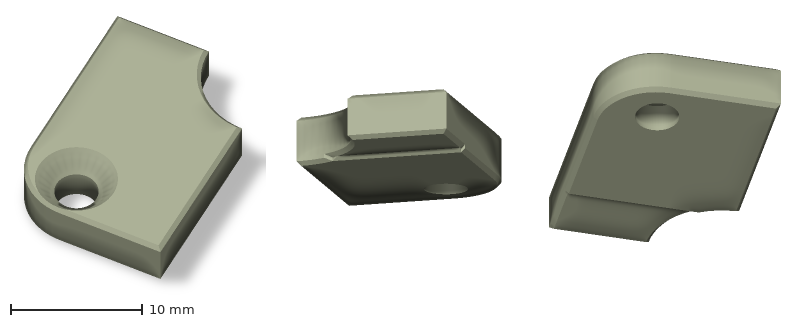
import cadquery as cq

width = 13.55
length = 19.54
height = 3.8
edge_chamfer = 0.31

corner_radius = 4.88
notch_radius = 5.73

step_start = 14.32
step_depth = 0.3

hole_x = 4.65
hole_y = 3.4
hole_diameter = 3.38
sink_diameter = 6.33
sink_angle = 90.0


def notch_cylinder(radius):
    """Cylinder on the +X +Y corner, as tall as the plate."""
    return cq.Workplane("XY").center(width, length).circle(radius).extrude(height)


def make_plate(bottom):
    """Chamfered plate with a rounded corner and a notch, from bottom to the top face."""
    plate = (
        cq.Workplane("XY", origin=(0, 0, bottom))
        .box(width, length, height - bottom, centered=False)
        .edges("|Z and <X and <Y")
        .fillet(corner_radius)
        .cut(notch_cylinder(notch_radius))
    )
    return plate.faces("<Z or >Z").edges().chamfer(edge_chamfer)


def make_thick_end():
    """Full-height part of the plate, ending where the step starts."""
    keep = cq.Workplane("XY").box(width, step_start, height, centered=False)
    return make_plate(0).intersect(keep)


def make_riser():
    """Sloped wedge that joins the two underside levels, inside the rim chamfers."""
    wedge = (
        cq.Workplane("YZ", origin=(edge_chamfer, 0, 0))
        .moveTo(step_start, 0)
        .lineTo(step_start + step_depth, step_depth)
        .lineTo(step_start, step_depth)
        .close()
        .extrude(width - 2 * edge_chamfer)
    )
    return wedge.cut(notch_cylinder(notch_radius + edge_chamfer))


def drill_screw_hole(plate):
    """Cut the countersunk through hole from the top face."""
    return (
        plate.faces(">Z")
        .workplane(origin=(hole_x, hole_y, height))
        .cskHole(hole_diameter, sink_diameter, sink_angle)
    )


body = make_plate(step_depth).union(make_thick_end()).union(make_riser())
result = drill_screw_hole(body)